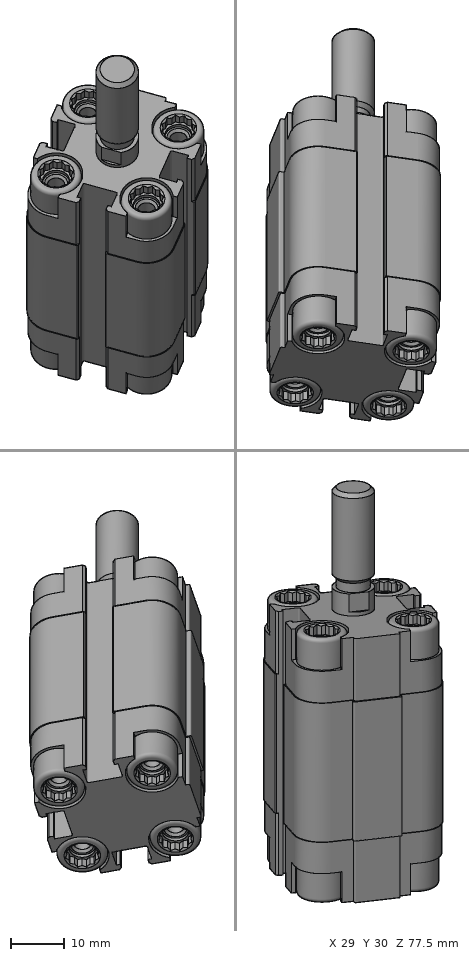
import cadquery as cq

TOTAL_HEIGHT = 77.5
HOUSING_HEIGHT = 53.1
CAP_HEIGHT = 12.55
BARREL_HEIGHT = HOUSING_HEIGHT - 2 * CAP_HEIGHT

BARREL_WIDTH = 29.0
CAP_WIDTH = 28.6
BOSS_OFFSET = 9.0
BARREL_RAIL_TOP = 15.5
CAP_RAIL_TOP = 15.1
BARREL_RAIL_WIDTH = 9.5
CAP_RAIL_WIDTH = 9.0
RAIL_FILLET = 0.3

SLOT_FLOOR = 9.45
SLOT_LIP = 12.95
SLOT_MOUTH_WIDTH = 5.35
SLOT_WIDTH = 6.8
SLOT_FLOOR_FILLET = 0.3
BARREL_LIP_CHAMFER = 0.2
CAP_LIP_CHAMFER = 0.5
SLOT_ANGLES = (-90, 0, 90)

BOSS_DIAMETER = 9.5
BOSS_HEIGHT = 6.2
SEAT_DIAMETER = 10.0
BOSS_FILLET = 0.8
NOTCH_START = 6.75
CORNER_ANGLES = (0, 90, 180, 270)
SOCKET_DIAMETER = 6.4
STAR_ANGLE = 30
SOCKET_DEPTH = 2.1
LEAD_IN_TOP_DIAMETER = 6.8
LEAD_IN_BOTTOM_DIAMETER = 5.7
LEAD_IN_DEPTH = 0.3
RECESS_DIAMETER = 5.0
RECESS_DEPTH = 0.7
COUNTERSINK_DIAMETER = 4.3
THROUGH_DIAMETER = 3.25

ROD_DIAMETER = 8.0
ROD_BOTTOM = HOUSING_HEIGHT - CAP_HEIGHT
ROD_SHOULDER = 57.5
NECK_DIAMETER = 6.4
STUD_BOTTOM = 59.4
STUD_CHAMFER = (ROD_DIAMETER - NECK_DIAMETER) / 2
FLAT_DISTANCE = 7.0
FLAT_BOTTOM = 53.9


def profile_block(width, rail_top, rail_width, bottom, height):
    """Rounded square with a rail along its +Y side."""
    corner_radius = width / 2 - BOSS_OFFSET
    square = (
        cq.Workplane("XY", origin=(0, 0, bottom))
        .rect(width, width)
        .extrude(height)
        .edges("|Z")
        .fillet(corner_radius)
    )
    rail = (
        cq.Workplane("XY", origin=(0, rail_top / 2, bottom))
        .rect(rail_width, rail_top)
        .extrude(height)
        .edges("|Z and >Y")
        .fillet(RAIL_FILLET)
    )
    return square.union(rail)


def t_slot(width, lip_chamfer, bottom, height):
    """Cutter for the slot in the -Y side; its mouth flares by the lips' chamfers."""
    outer = width / 2
    half_mouth = SLOT_MOUTH_WIDTH / 2
    half_flare = half_mouth + lip_chamfer
    chamfer_start = outer - lip_chamfer
    mouth = (
        cq.Workplane("XY", origin=(0, 0, bottom))
        .moveTo(-half_mouth, -SLOT_LIP)
        .lineTo(-half_mouth, -chamfer_start)
        .lineTo(-half_flare, -outer)
        .lineTo(half_flare, -outer)
        .lineTo(half_mouth, -chamfer_start)
        .lineTo(half_mouth, -SLOT_LIP)
        .close()
        .extrude(height)
    )
    chamber = (
        cq.Workplane("XY", origin=(0, -(SLOT_FLOOR + SLOT_LIP) / 2, bottom))
        .rect(SLOT_WIDTH, SLOT_LIP - SLOT_FLOOR)
        .extrude(height)
        .edges("|Z and >Y")
        .fillet(SLOT_FLOOR_FILLET)
    )
    return chamber.union(mouth)


def slotted_section(width, rail_top, rail_width, lip_chamfer, bottom, height):
    section = profile_block(width, rail_top, rail_width, bottom, height)
    slot = t_slot(width, lip_chamfer, bottom, height)
    for angle in SLOT_ANGLES:
        section = section.cut(slot.rotate((0, 0, 0), (0, 0, 1), angle))
    return section


def make_blank():
    """Barrel between two identical end caps, with the slots running through all three."""
    blank = slotted_section(
        BARREL_WIDTH, BARREL_RAIL_TOP, BARREL_RAIL_WIDTH, BARREL_LIP_CHAMFER, CAP_HEIGHT, BARREL_HEIGHT
    )
    for bottom in (0, HOUSING_HEIGHT - CAP_HEIGHT):
        cap = slotted_section(CAP_WIDTH, CAP_RAIL_TOP, CAP_RAIL_WIDTH, CAP_LIP_CHAMFER, bottom, CAP_HEIGHT)
        blank = blank.union(cap)
    return blank.clean()


def corner_notch():
    """Cutter that clears the +X +Y top corner and a round seat around its boss."""
    notch_size = CAP_WIDTH / 2 - NOTCH_START
    ledge = HOUSING_HEIGHT - BOSS_HEIGHT
    corner = (
        cq.Workplane("XY", origin=(NOTCH_START, NOTCH_START, ledge))
        .rect(notch_size, notch_size, centered=False)
        .extrude(BOSS_HEIGHT)
    )
    seat = (
        cq.Workplane("XY", origin=(BOSS_OFFSET, BOSS_OFFSET, ledge))
        .circle(SEAT_DIAMETER / 2)
        .extrude(BOSS_HEIGHT)
    )
    return corner.union(seat)


def corner_boss():
    """Round boss in the +X +Y top corner, with a rounded rim."""
    return (
        cq.Workplane("XY", origin=(BOSS_OFFSET, BOSS_OFFSET, HOUSING_HEIGHT - BOSS_HEIGHT))
        .circle(BOSS_DIAMETER / 2)
        .extrude(BOSS_HEIGHT)
        .faces(">Z")
        .edges()
        .fillet(BOSS_FILLET)
    )


def boss_cone(top_depth, top_diameter, bottom_depth, bottom_diameter):
    """Cone on the +X +Y boss axis, with its ends at depths below the housing top."""
    return (
        cq.Workplane("XY", origin=(BOSS_OFFSET, BOSS_OFFSET, HOUSING_HEIGHT - top_depth))
        .circle(top_diameter / 2)
        .workplane(offset=top_depth - bottom_depth)
        .circle(bottom_diameter / 2)
        .loft()
    )


def boss_socket():
    """Cutter for the 12-point socket with its lead-in, round recess and countersink."""
    top = cq.Workplane("XY", origin=(BOSS_OFFSET, BOSS_OFFSET, HOUSING_HEIGHT))
    hexagon = top.polygon(6, SOCKET_DIAMETER).extrude(-SOCKET_DEPTH)
    axis_start = (BOSS_OFFSET, BOSS_OFFSET, 0)
    axis_end = (BOSS_OFFSET, BOSS_OFFSET, 1)
    star = hexagon.union(hexagon.rotate(axis_start, axis_end, STAR_ANGLE))
    lead_in = boss_cone(0, LEAD_IN_TOP_DIAMETER, LEAD_IN_DEPTH, LEAD_IN_BOTTOM_DIAMETER)
    recess_floor = SOCKET_DEPTH + RECESS_DEPTH
    recess = top.circle(RECESS_DIAMETER / 2).extrude(-recess_floor)
    countersink_floor = recess_floor + (COUNTERSINK_DIAMETER - THROUGH_DIAMETER) / 2
    countersink = boss_cone(recess_floor, COUNTERSINK_DIAMETER, countersink_floor, THROUGH_DIAMETER)
    return star.union(lead_in).union(recess).union(countersink)


def at_every_corner(shape):
    """Copies of a +X +Y top shape at all four corners of both ends."""
    flipped = shape.mirror("XY", (0, 0, HOUSING_HEIGHT / 2))
    return [
        end.rotate((0, 0, 0), (0, 0, 1), angle)
        for end in (shape, flipped)
        for angle in CORNER_ANGLES
    ]


def make_housing(rod):
    housing = make_blank()
    for notch in at_every_corner(corner_notch()):
        housing = housing.cut(notch)
    for boss in at_every_corner(corner_boss()):
        housing = housing.union(boss, clean=False)
    for socket in at_every_corner(boss_socket()):
        housing = housing.cut(socket)
    through_holes = (
        cq.Workplane("XY")
        .rect(2 * BOSS_OFFSET, 2 * BOSS_OFFSET, forConstruction=True)
        .vertices()
        .circle(THROUGH_DIAMETER / 2)
        .extrude(HOUSING_HEIGHT)
    )
    return housing.cut(through_holes).cut(rod)


def make_rod():
    """Round rod with two wrench flats, an undercut neck and a chamfered stud."""
    radius = ROD_DIAMETER / 2
    neck_radius = NECK_DIAMETER / 2
    rod = (
        cq.Workplane("XZ")
        .moveTo(0, ROD_BOTTOM)
        .lineTo(radius, ROD_BOTTOM)
        .lineTo(radius, ROD_SHOULDER)
        .lineTo(neck_radius, ROD_SHOULDER)
        .lineTo(neck_radius, STUD_BOTTOM)
        .lineTo(radius, STUD_BOTTOM + STUD_CHAMFER)
        .lineTo(radius, TOTAL_HEIGHT - STUD_CHAMFER)
        .lineTo(neck_radius, TOTAL_HEIGHT)
        .lineTo(0, TOTAL_HEIGHT)
        .close()
        .revolve(360, (0, 0, 0), (0, 1, 0))
    )
    for side in (-1, 1):
        flat = (
            cq.Workplane("XY", origin=(0, side * (FLAT_DISTANCE + ROD_DIAMETER) / 2, FLAT_BOTTOM))
            .rect(ROD_DIAMETER, ROD_DIAMETER)
            .extrude(ROD_SHOULDER - FLAT_BOTTOM)
        )
        rod = rod.cut(flat)
    return rod


piston_rod = make_rod()
housing = make_housing(piston_rod)
result = cq.Compound.makeCompound([housing.val(), piston_rod.val()])